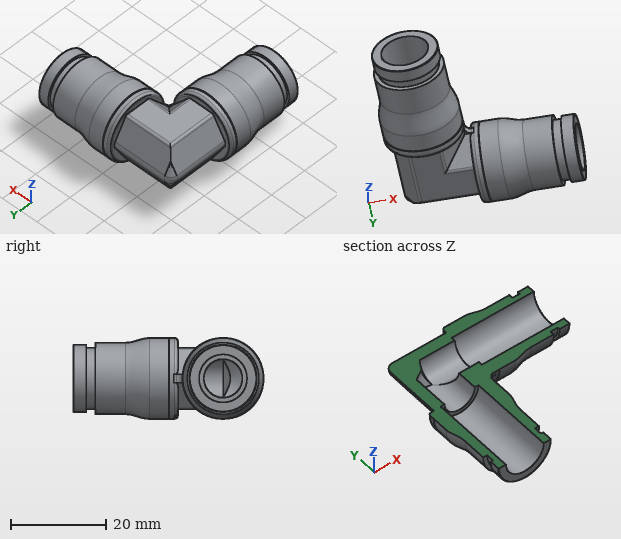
import cadquery as cq
import math


OVERALL = 40.05

COLLAR_RADIUS = 8.545
COLLAR_FACE_RADIUS = 7.73
COLLAR_LIP_RADIUS = 8.1
SLEEVE_RADIUS = 7.53
NECK_RADIUS = 6.5
RING_RADIUS = 7.1

COLLAR_START = 9.45
COLLAR_LIP = COLLAR_START + 0.1
COLLAR_ROUND_END = 10.3
SEAM_START = 11.33
SEAM_END = 11.45
TAPER_START = 15.5
TAPER_END = 20.58
SLEEVE_END = 26.85
RING_START = 28.75
PORT_END = OVERALL - COLLAR_RADIUS

SEAM_DEPTH = 0.06
RING_CHAMFER = 0.12

TUBE_BORE_RADIUS = 5.05
TUBE_STOP = COLLAR_START
PASSAGE_RADIUS = 4.05
DRILL_POINT_ANGLE = 118.0

BODY_HALF_HEIGHT = 6.5
FLAT_HALF_WIDTH = 3.45
OUTER_APEX = 7.35
OUTER_APEX_ROUND = 1.8
FLAT_EDGE_ROUND = 0.85
BODY_END = COLLAR_ROUND_END
CORNER_PIVOT = 5.05

WEB_HALF_THICKNESS = 0.9
WEB_START = 8.4
WEB_END = 10.4
WEB_ROUND = 1.25


def mirrored(shape):
    """Image of a shape in the plane X + Y = 0, which swaps the two ports."""
    return shape.mirror("XZ").rotate((0, 0, 0), (0, 0, 1), -90)


def turned(profile):
    """Solid of revolution about the X axis from a closed profile in the XY plane."""
    return profile.close().revolve(360, (0, 0, 0), (1, 0, 0))


def port():
    """Solid outside of the +X port, from its open end back to the collar face."""
    seam_radius = COLLAR_RADIUS - SEAM_DEPTH
    return turned(
        cq.Workplane("XY")
        .moveTo(PORT_END, 0)
        .lineTo(PORT_END, RING_RADIUS - RING_CHAMFER)
        .lineTo(PORT_END - RING_CHAMFER, RING_RADIUS)
        .lineTo(RING_START, RING_RADIUS)
        .lineTo(RING_START, NECK_RADIUS)
        .lineTo(SLEEVE_END, NECK_RADIUS)
        .lineTo(SLEEVE_END, SLEEVE_RADIUS)
        .lineTo(TAPER_END, SLEEVE_RADIUS)
        .spline([(TAPER_START, COLLAR_RADIUS)], tangents=[(-1, 0), (-1, 0)], includeCurrent=True)
        .lineTo(SEAM_END, COLLAR_RADIUS)
        .lineTo(SEAM_END, seam_radius)
        .lineTo(SEAM_START, seam_radius)
        .lineTo(SEAM_START, COLLAR_RADIUS)
        .lineTo(COLLAR_ROUND_END, COLLAR_RADIUS)
        .tangentArcPoint((COLLAR_LIP, COLLAR_LIP_RADIUS), relative=False)
        .lineTo(COLLAR_START, COLLAR_FACE_RADIUS)
        .lineTo(COLLAR_START, 0)
    )


def bore():
    """Void inside the +X port: tube seat, passage and drill point past the origin."""
    point_depth = PASSAGE_RADIUS / math.tan(math.radians(DRILL_POINT_ANGLE / 2))
    return turned(
        cq.Workplane("XY")
        .moveTo(PORT_END, 0)
        .lineTo(PORT_END, TUBE_BORE_RADIUS)
        .lineTo(TUBE_STOP, TUBE_BORE_RADIUS)
        .lineTo(TUBE_STOP, PASSAGE_RADIUS)
        .lineTo(0, PASSAGE_RADIUS)
        .lineTo(-point_depth, 0)
    )


def full_arm():
    """Prism along +X: rounded apex on the outer side, long slopes down to the web on the inner side."""
    arm = (
        cq.Workplane("YZ")
        .workplane(offset=-CORNER_PIVOT)
        .moveTo(OUTER_APEX, 0)
        .lineTo(FLAT_HALF_WIDTH, BODY_HALF_HEIGHT)
        .lineTo(-FLAT_HALF_WIDTH, BODY_HALF_HEIGHT)
        .lineTo(-WEB_START, WEB_HALF_THICKNESS)
        .lineTo(-WEB_START, -WEB_HALF_THICKNESS)
        .lineTo(-FLAT_HALF_WIDTH, -BODY_HALF_HEIGHT)
        .lineTo(FLAT_HALF_WIDTH, -BODY_HALF_HEIGHT)
        .close()
        .extrude(CORNER_PIVOT + BODY_END)
    )
    arm = arm.edges("|X and >Y").fillet(OUTER_APEX_ROUND)
    return arm.edges("|X and (>Z or <Z)").fillet(FLAT_EDGE_ROUND)


def mitred(arm):
    """Part of an arm on its own side of the diagonal plane."""
    keep = (
        cq.Workplane("XY")
        .moveTo(-CORNER_PIVOT, CORNER_PIVOT)
        .lineTo(BODY_END, -BODY_END)
        .lineTo(BODY_END, OUTER_APEX)
        .lineTo(-CORNER_PIVOT, OUTER_APEX)
        .close()
        .extrude(BODY_HALF_HEIGHT, both=True)
    )
    return arm.intersect(keep)


def rounded_corner(arm):
    """Outer corner: the arm section beyond a vertical pivot line, swung a quarter turn about it."""
    end_face = arm.faces("<X").val()
    beyond_pivot = cq.Workplane("XY").box(
        2 * OUTER_APEX, OUTER_APEX, 2 * BODY_HALF_HEIGHT
    ).translate((-CORNER_PIVOT, CORNER_PIVOT + OUTER_APEX / 2, 0))
    section = end_face.intersect(beyond_pivot.val()).Faces()[0]
    pivot_base = cq.Vector(-CORNER_PIVOT, CORNER_PIVOT, 0)
    pivot_top = pivot_base + cq.Vector(0, 0, 0.4)
    return cq.Workplane(cq.Solid.revolve(section, 90, pivot_base, pivot_top))


def web():
    """Plate in the inside corner, level with both collars and rounded concave between them."""
    round_end = COLLAR_RADIUS + WEB_ROUND
    round_middle = round_end - WEB_ROUND * math.sqrt(0.5)
    return (
        cq.Workplane("XY")
        .moveTo(WEB_START, -WEB_START)
        .lineTo(WEB_END, -WEB_START)
        .lineTo(WEB_END, -COLLAR_RADIUS)
        .lineTo(round_end, -COLLAR_RADIUS)
        .threePointArc((round_middle, -round_middle), (COLLAR_RADIUS, -round_end))
        .lineTo(COLLAR_RADIUS, -WEB_END)
        .lineTo(WEB_START, -WEB_END)
        .close()
        .extrude(WEB_HALF_THICKNESS, both=True)
    )


arm = full_arm()
half_body = mitred(arm)
body = half_body.union(mirrored(half_body)).union(rounded_corner(arm)).union(web())
result = body.union(port()).union(mirrored(port()))
result = result.cut(bore()).cut(mirrored(bore()))